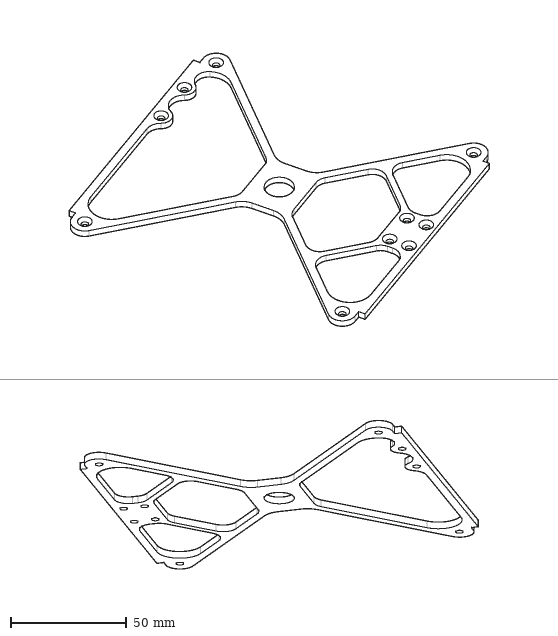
import cadquery as cq
import math

INCH = 25.4
thickness = INCH / 8
overall_width = 5.75 * INCH
overall_height = 5.25 * INCH
rail_length = 4.5 * INCH
rail_width = 5 / 32 * INCH
corner_radius = INCH / 4
corner_hole_x = 2.5 * INCH
arm_width = 5 / 32 * INCH
hub_half_width = INCH / 2
hub_half_height = 15.08
hub_fillet = 9.5
hub_hole_diameter = 13.1

inner_fillet = INCH / 4
window_end_radius = 10.3

brace_width = 3.0
brace_middle_sum = 68.2
pad_inner_x = 53.8
pad_half_height = INCH / 2
pad_center_x = corner_hole_x
pad_pitch_x = 3 / 8 * INCH
pad_pitch_y = 5 / 8 * INCH

boss_x = -67.8
boss_center_y = 28.5
boss_radius = 5.1
hollow_radius = 7.14
upper_hollow_radius = INCH / 4

screw_hole_diameter = 3.26
countersink_diameter = INCH / 4
countersink_angle = 90

half_width = overall_width / 2
corner_hole_y = overall_height / 2 - corner_radius
corner_edge_x = corner_hole_x + corner_radius
window_edge_x = half_width - rail_width
cos_45 = math.sqrt(0.5)
outer_offset = corner_hole_y - corner_hole_x + corner_radius / cos_45
inner_offset = outer_offset - arm_width / cos_45
brace_inner_sum = brace_middle_sum - brace_width / 2 / cos_45
brace_outer_sum = brace_middle_sum + brace_width / 2 / cos_45
hollow_x = -window_edge_x + hollow_radius
boss_reach = boss_radius + hollow_radius
boss_pitch = 2 * math.sqrt(boss_reach**2 - (hollow_x - boss_x) ** 2)
boss_points = [(boss_x, boss_center_y + side * boss_pitch / 2) for side in (-1, 1)]


def prism(points):
    """Plate-thick prism from a closed polygon."""
    return cq.Workplane("XY").polyline(points).close().extrude(thickness)


def disc(x, y, radius):
    """Plate-thick disc."""
    return cq.Workplane("XY").center(x, y).circle(radius).extrude(thickness)


def fillet_at(body, x, y, radius):
    """Round the upright edge nearest to (x, y)."""
    nearest = cq.selectors.NearestToPointSelector((x, y, thickness / 2))
    return body.edges("|Z").edges(nearest).fillet(radius)


def mirrored(points):
    """Points followed by their mirror images in the X axis, in loop order."""
    return points + [(x, -y) for x, y in reversed(points)]


def blank():
    """Bow-tie outline with rounded corners and stepped side rails."""
    tangent_x = corner_hole_x - corner_radius * cos_45
    tangent_y = corner_hole_y + corner_radius * cos_45
    hub_corner_x = hub_half_height - outer_offset
    right_top = [
        (0, hub_half_height),
        (hub_corner_x, hub_half_height),
        (tangent_x, tangent_y),
        (corner_hole_x, corner_hole_y),
        (corner_edge_x, corner_hole_y),
        (corner_edge_x, rail_length / 2),
        (half_width, rail_length / 2),
    ]
    right = prism(mirrored(right_top))
    body = right.union(right.mirror("YZ"))
    for sx in (-1, 1):
        for sy in (-1, 1):
            body = fillet_at(body, sx * hub_corner_x, sy * hub_half_height, hub_fillet)
            body = body.union(disc(sx * corner_hole_x, sy * corner_hole_y, corner_radius))
    return body


def side_window():
    """Trapezoidal window between hub, arms and the right-hand rail."""
    top = [
        (hub_half_width, hub_half_width + inner_offset),
        (window_edge_x, window_edge_x + inner_offset),
    ]
    window = prism(mirrored(top))
    for x, y in mirrored(top):
        radius = inner_fillet if x == hub_half_width else window_end_radius
        window = fillet_at(window, x, y, radius)
    return window


def along(start, end, distance):
    """Point at a distance from start in the direction of end."""
    share = distance / math.dist(start, end)
    return (start[0] + share * (end[0] - start[0]), start[1] + share * (end[1] - start[1]))


def circles_meet(first, first_radius, second, second_radius):
    """Crossing of two circles on the left of the line from first to second."""
    span = math.dist(first, second)
    run = (first_radius**2 - second_radius**2 + span**2) / (2 * span)
    rise = math.sqrt(first_radius**2 - run**2)
    direction = math.atan2(second[1] - first[1], second[0] - first[0]) + math.atan2(rise, run)
    return (first[0] + first_radius * math.cos(direction), first[1] + first_radius * math.sin(direction))


def boss_infill():
    """Two screw bosses on the left rail, blended into the window edge by tangent hollows."""
    lower_boss, upper_boss = boss_points
    lower_hollow = (hollow_x, lower_boss[1] - boss_pitch / 2)
    middle_hollow = (hollow_x, boss_center_y)
    window_end_x = -window_edge_x + window_end_radius
    window_end = (window_end_x, inner_offset - window_end_x - window_end_radius / cos_45)
    upper_hollow = circles_meet(
        upper_boss,
        boss_radius + upper_hollow_radius,
        window_end,
        window_end_radius - upper_hollow_radius,
    )
    end_tangent = along(window_end, upper_hollow, window_end_radius)

    arcs = [
        (lower_hollow, hollow_radius, along(lower_boss, lower_hollow, boss_radius)),
        (lower_boss, boss_radius, along(lower_boss, middle_hollow, boss_radius)),
        (middle_hollow, hollow_radius, along(upper_boss, middle_hollow, boss_radius)),
        (upper_boss, boss_radius, along(upper_boss, upper_hollow, boss_radius)),
        (upper_hollow, upper_hollow_radius, end_tangent),
    ]
    start = (-window_edge_x, lower_hollow[1])
    path = cq.Workplane("XY").moveTo(*start)
    for center, radius, end in arcs:
        chord_middle = ((start[0] + end[0]) / 2, (start[1] + end[1]) / 2)
        path = path.threePointArc(along(center, chord_middle, radius), end)
        start = end
    path = path.lineTo(-half_width, end_tangent[1]).lineTo(-half_width, lower_hollow[1])
    return path.close().extrude(thickness)


def left_window():
    """Trapezoidal window on the left, less the screw bosses."""
    return side_window().mirror("YZ").cut(boss_infill())


def right_windows():
    """Hexagonal window beside the hub and a triangular window at each corner."""
    apex_x = (brace_inner_sum - inner_offset) / 2
    hexagon_points = mirrored([
        (hub_half_width, hub_half_width + inner_offset),
        (apex_x, apex_x + inner_offset),
        (pad_inner_x, brace_inner_sum - pad_inner_x),
    ])
    windows = prism(hexagon_points).edges("|Z").fillet(inner_fillet)

    tip_x = (brace_outer_sum - inner_offset) / 2
    end_corner = (window_edge_x, window_edge_x + inner_offset)
    small_corners = [
        (tip_x, tip_x + inner_offset),
        (brace_outer_sum - pad_half_height, pad_half_height),
        (window_edge_x, pad_half_height),
    ]
    triangle = prism(small_corners + [end_corner])
    for x, y in small_corners:
        triangle = fillet_at(triangle, x, y, inner_fillet)
    triangle = fillet_at(triangle, *end_corner, window_end_radius)
    return windows.union(triangle).union(triangle.mirror("XZ"))


def screw_points():
    """Centers of all countersunk screw holes."""
    points = list(boss_points)
    for sx in (-1, 1):
        for sy in (-1, 1):
            points.append((sx * corner_hole_x, sy * corner_hole_y))
            points.append((pad_center_x + sx * pad_pitch_x / 2, sy * pad_pitch_y / 2))
    return points


result = blank().cut(left_window()).cut(right_windows())
result = result.cut(disc(0, 0, hub_hole_diameter / 2))
result = (
    result.faces(">Z").workplane(origin=(0, 0, thickness))
    .pushPoints(screw_points())
    .cskHole(screw_hole_diameter, countersink_diameter, countersink_angle)
)